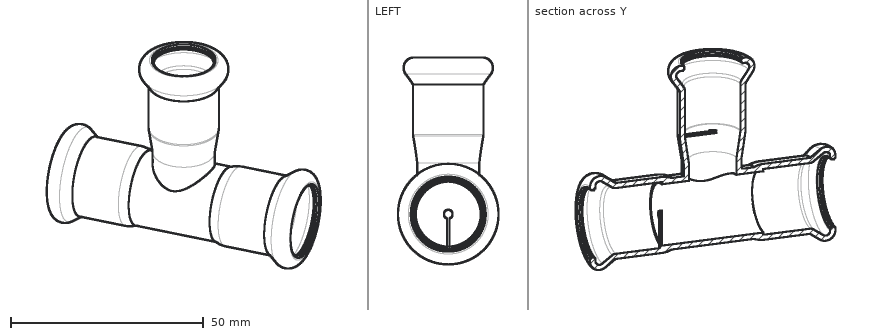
import cadquery as cq
import math

WALL = 1.55
RUN_HALF_LENGTH = 34.0
OVERALL_HEIGHT = 53.8
OVERALL_WIDTH = 26.2

BEAD_RADIUS = 2.7
BEAD_LENGTH = 7.1
LIP_WIDTH = 0.6
LIP_CHAMFER = 0.5

SOCKET_DEPTH = 20.0

RUN_BEAD_MAX = OVERALL_WIDTH / 2
RUN_SOCKET_RADIUS = 10.6
RUN_BODY_RADIUS = 10.0
RUN_NECK_LENGTH = 2.65

BRANCH_HEIGHT = OVERALL_HEIGHT - RUN_BEAD_MAX
BRANCH_BEAD_MAX = 11.6
BRANCH_SOCKET_RADIUS = 9.2
BRANCH_BODY_RADIUS = 8.1
BRANCH_NECK_LENGTH = 7.4
BRANCH_NECK_BLEND = 2.7

TAB_THICKNESS = 0.7
STALK_WIDTH = 0.7
RUN_TAB_RADIUS = 1.15
BRANCH_TAB_RADIUS = 1.0


def polar(centre, radius, angle):
    """Point at the given angle on a circle; a negative radius gives the far side."""
    return centre[0] + radius * math.cos(angle), centre[1] + radius * math.sin(angle)


def tangent_angle(centre, radius, point):
    """Angle on the circle where a line from a point below it touches its outer side."""
    across = point[0] - centre[0]
    along = point[1] - centre[1]
    return math.atan2(along, across) + math.acos(radius / math.hypot(across, along))


def arm_solid(mouth, bead_max, socket_radius, body_radius, neck_length, neck_blend=None, inset=0):
    """Arm revolved about Z from the origin up to its mouth, its skin moved inward by inset."""
    bead_centre = (bead_max - BEAD_RADIUS, mouth - BEAD_RADIUS)
    cone_foot = (socket_radius, mouth - BEAD_LENGTH)
    cone_angle = tangent_angle(bead_centre, BEAD_RADIUS, cone_foot)
    bead_radius = BEAD_RADIUS - inset
    crown_angle = math.pi / 2

    profile = (
        cq.Workplane("XZ")
        .moveTo(0, mouth - inset)
        .lineTo(*polar(bead_centre, bead_radius, crown_angle))
        .threePointArc(
            polar(bead_centre, bead_radius, (crown_angle + cone_angle) / 2),
            polar(bead_centre, bead_radius, cone_angle),
        )
        .lineTo(*polar(cone_foot, -inset, cone_angle))
    )
    if inset:
        profile = profile.threePointArc(
            polar(cone_foot, -inset, cone_angle / 2),
            polar(cone_foot, -inset, 0),
        )

    socket_end = mouth - SOCKET_DEPTH
    profile = profile.lineTo(socket_radius - inset, socket_end)
    neck_foot = (body_radius - inset, socket_end - neck_length)
    if neck_blend:
        blend_centre = (socket_radius - neck_blend, socket_end)
        blend_radius = neck_blend - inset
        neck_angle = tangent_angle(blend_centre, blend_radius, neck_foot)
        profile = profile.threePointArc(
            polar(blend_centre, blend_radius, neck_angle / 2),
            polar(blend_centre, blend_radius, neck_angle),
        ).lineTo(*neck_foot)
    elif inset:
        profile = profile.lineTo(neck_foot[0], socket_end)
    else:
        profile = profile.tangentArcPoint(neck_foot, relative=False)
    profile = profile.lineTo(neck_foot[0], 0).lineTo(0, 0).close()
    return profile.revolve(360, (0, 0, 0), (0, 1, 0))


def arm_bore(mouth, bead_max, *sizes):
    """Inside of an arm: its outer shape less the wall, opened through the mouth lip."""
    rim_radius = bead_max - BEAD_RADIUS - LIP_WIDTH
    edge_radius = rim_radius - LIP_CHAMFER
    lip_foot = mouth - WALL
    opening = (
        cq.Workplane("XZ")
        .moveTo(0, mouth)
        .lineTo(rim_radius, mouth)
        .lineTo(edge_radius, mouth - LIP_CHAMFER)
        .lineTo(edge_radius, lip_foot + LIP_CHAMFER)
        .lineTo(rim_radius, lip_foot)
        .lineTo(0, lip_foot)
        .close()
        .revolve(360, (0, 0, 0), (0, 1, 0))
    )
    return arm_solid(mouth, bead_max, *sizes, inset=WALL).union(opening)


def stop_tab(mouth, socket_radius, tab_radius):
    """Disc on the arm axis with a stalk along local +X into the socket wall."""
    plane = cq.Workplane("XY").workplane(offset=mouth - SOCKET_DEPTH)
    reach = socket_radius - WALL / 2
    stalk = plane.center(reach / 2, 0).rect(reach, STALK_WIDTH).extrude(TAB_THICKNESS)
    return plane.circle(tab_radius).extrude(TAB_THICKNESS).union(stalk)


def along_x(shape, sign):
    """Turn a shape built along +Z to lie along +X or -X."""
    return shape.rotate((0, 0, 0), (0, 1, 0), sign * 90)


RUN_ARM = (
    RUN_HALF_LENGTH, RUN_BEAD_MAX, RUN_SOCKET_RADIUS, RUN_BODY_RADIUS, RUN_NECK_LENGTH,
)
BRANCH_ARM = (
    BRANCH_HEIGHT, BRANCH_BEAD_MAX, BRANCH_SOCKET_RADIUS, BRANCH_BODY_RADIUS,
    BRANCH_NECK_LENGTH, BRANCH_NECK_BLEND,
)

tee = arm_solid(*BRANCH_ARM)
bores = arm_bore(*BRANCH_ARM)
for side in (1, -1):
    tee = tee.union(along_x(arm_solid(*RUN_ARM), side))
    bores = bores.union(along_x(arm_bore(*RUN_ARM), side))
tee = tee.cut(bores)

run_tab = along_x(stop_tab(RUN_HALF_LENGTH, RUN_SOCKET_RADIUS, RUN_TAB_RADIUS), 1)
branch_tab = stop_tab(BRANCH_HEIGHT, BRANCH_SOCKET_RADIUS, BRANCH_TAB_RADIUS)
result = tee.union(run_tab).union(branch_tab)